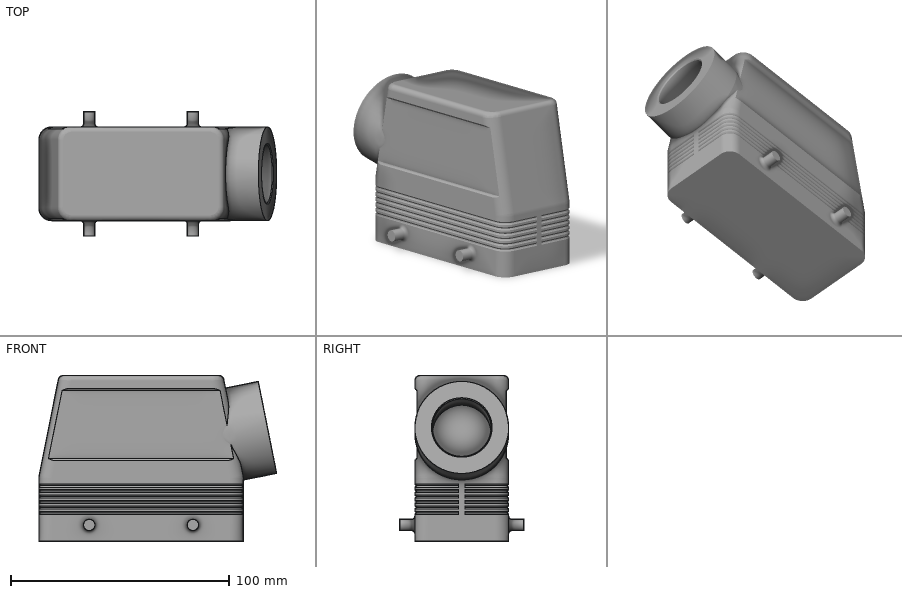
import math

import cadquery as cq

OVERALL_LENGTH = 108.99
BODY_LENGTH = 93.7
BODY_WIDTH = 43.0
BODY_HEIGHT = 76.0
WALL_TILT = 11.3
KNEE_Z = 29.45
KNEE_RADIUS = 6.5
CORNER_RADIUS = 6.0
TOP_FILLET = 2.5

RECESS_DEPTH = 1.0
RECESS_BOTTOM = 37.0
RECESS_TOP = 70.0

GROOVE_COUNT = 6
GROOVE_PITCH = 2.5
GROOVE_DEPTH = 0.75
LOWEST_GROOVE_Z = 13.0
GROOVE_GAP = 2.8

PEG_DIAMETER = 5.2
PEG_SPAN = 57.0
PEG_SPACING = 47.5
PEG_Z = 7.5
PEG_FILLET = 1.5

NOZZLE_DIAMETER = 43.0
NOZZLE_LENGTH = 15.0
NOZZLE_END_Z = 52.15
ROOT_TAPER = 10.0
ROOT_LENGTH = 12.0
BORE_DIAMETER = 26.8
BORE_CHAMFER = 0.5

BEVEL_ANGLE = 45.0
HALF_LENGTH = BODY_LENGTH / 2
HALF_WIDTH = BODY_WIDTH / 2
TILT = math.radians(WALL_TILT)
MARGIN = 5.0


def make_body():
    """Side profile with leaning, softly bent end walls; rounded corners and top rim."""
    top_half_length = HALF_LENGTH - (BODY_HEIGHT - KNEE_Z) * math.tan(TILT)
    tangent = KNEE_RADIUS * math.tan(TILT / 2)
    knee_low = KNEE_Z - tangent
    knee_high = KNEE_Z + tangent * math.cos(TILT)
    knee_inset = tangent * math.sin(TILT)
    knee_middle = (
        HALF_LENGTH - KNEE_RADIUS * (1 - math.cos(TILT / 2)),
        knee_low + KNEE_RADIUS * math.sin(TILT / 2),
    )
    body = (
        cq.Workplane("XZ")
        .moveTo(-HALF_LENGTH, 0)
        .lineTo(HALF_LENGTH, 0)
        .lineTo(HALF_LENGTH, knee_low)
        .threePointArc(knee_middle, (HALF_LENGTH - knee_inset, knee_high))
        .lineTo(top_half_length, BODY_HEIGHT)
        .lineTo(-top_half_length, BODY_HEIGHT)
        .lineTo(-HALF_LENGTH + knee_inset, knee_high)
        .threePointArc((-knee_middle[0], knee_middle[1]), (-HALF_LENGTH, knee_low))
        .close()
        .extrude(HALF_WIDTH, both=True)
    )
    end_edges = body.faces("|Y").edges("not #Z")
    body = end_edges.fillet(CORNER_RADIUS)
    return body.faces(">Z").edges().fillet(TOP_FILLET)


def cut_side_recesses(body):
    """Flat panel recess running the whole length of both long sides."""
    section = [
        (HALF_WIDTH, RECESS_BOTTOM),
        (HALF_WIDTH - RECESS_DEPTH, RECESS_BOTTOM + RECESS_DEPTH),
        (HALF_WIDTH - RECESS_DEPTH, RECESS_TOP - RECESS_DEPTH),
        (HALF_WIDTH, RECESS_TOP),
    ]
    recess = cq.Workplane("YZ").polyline(section).close().extrude(HALF_LENGTH, both=True)
    return body.cut(recess).cut(recess.mirror("XZ"))


def groove_waist(direction):
    """Half of the rounded core left inside a groove, narrowest at the groove's mid height."""
    return (
        cq.Workplane("XY", origin=(0, 0, -direction * GROOVE_DEPTH))
        .sketch()
        .rect(BODY_LENGTH, BODY_WIDTH)
        .vertices()
        .fillet(CORNER_RADIUS)
        .finalize()
        .extrude(direction * GROOVE_DEPTH, taper=BEVEL_ANGLE)
    )


def cut_grooves(body):
    """Grip grooves around the base, interrupted in the middle of each end wall."""
    ring = cq.Workplane("XY").box(BODY_LENGTH + MARGIN, BODY_WIDTH + MARGIN, 2 * GROOVE_DEPTH)
    gap = cq.Workplane("XY").box(BODY_LENGTH + 2 * MARGIN, GROOVE_GAP, 2 * GROOVE_DEPTH)
    cutter = ring.cut(groove_waist(1)).cut(groove_waist(-1)).cut(gap)
    for index in range(GROOVE_COUNT):
        body = body.cut(cutter.translate((0, 0, LOWEST_GROOVE_Z + index * GROOVE_PITCH)))
    return body


def add_pegs(body):
    """Two pegs on each side wall, each flared where it leaves the wall."""
    radius = PEG_DIAMETER / 2
    tip = PEG_SPAN / 2
    flare_end = HALF_WIDTH + PEG_FILLET
    arc_drop = PEG_FILLET * (1 - math.sqrt(0.5))
    half_peg = (
        cq.Workplane("YZ")
        .moveTo(0, 0)
        .lineTo(0, radius + PEG_FILLET)
        .lineTo(HALF_WIDTH, radius + PEG_FILLET)
        .threePointArc((HALF_WIDTH + arc_drop, radius + arc_drop), (flare_end, radius))
        .lineTo(tip, radius)
        .lineTo(tip, 0)
        .close()
        .revolve(360, (0, 0, 0), (1, 0, 0))
    )
    for x in (-PEG_SPACING / 2, PEG_SPACING / 2):
        peg = half_peg.translate((x, 0, PEG_Z))
        body = body.union(peg).union(peg.mirror("XZ"))
    return body


def add_cable_entry(body):
    """Tilted cylinder with a tapered root in the end wall and a blind bore."""
    nozzle_radius = NOZZLE_DIAMETER / 2
    end_x = OVERALL_LENGTH - HALF_LENGTH - nozzle_radius * math.sin(TILT)
    end_plane = cq.Plane(
        origin=(end_x, 0, NOZZLE_END_Z),
        xDir=(-math.sin(TILT), 0, math.cos(TILT)),
        normal=(math.cos(TILT), 0, math.sin(TILT)),
    )
    end_face = cq.Workplane(end_plane)
    nozzle = end_face.circle(nozzle_radius).extrude(-NOZZLE_LENGTH)
    root = (
        end_face.workplane(offset=-NOZZLE_LENGTH)
        .circle(nozzle_radius)
        .extrude(-ROOT_LENGTH, taper=ROOT_TAPER)
    )
    bore = end_face.circle(BORE_DIAMETER / 2).extrude(-NOZZLE_LENGTH)
    mouth = end_face.circle(BORE_DIAMETER / 2 + BORE_CHAMFER).extrude(-BORE_CHAMFER, taper=BEVEL_ANGLE)
    return body.union(nozzle.union(root)).cut(bore).cut(mouth)


result = make_body()
result = cut_side_recesses(result)
result = cut_grooves(result)
result = add_pegs(result)
result = add_cable_entry(result)